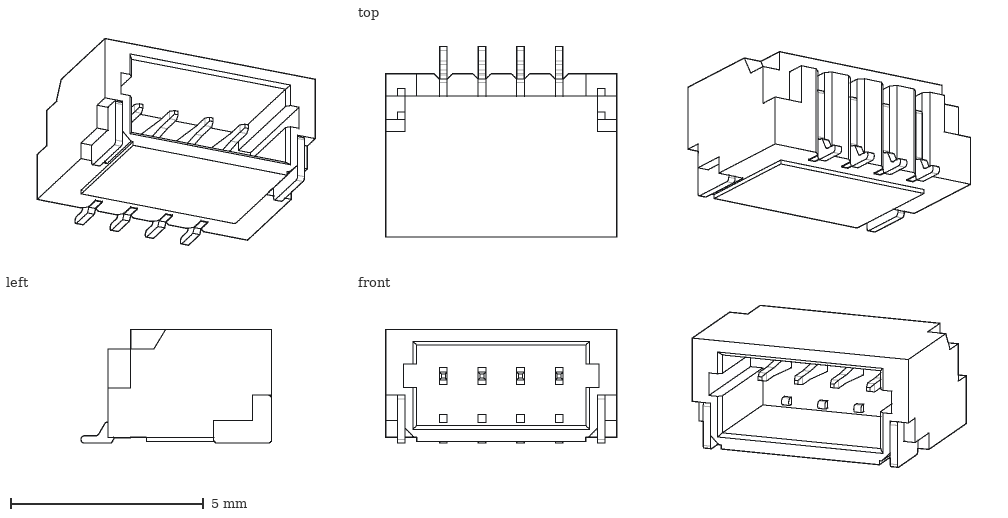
import cadquery as cq
import math


WIDTH = 6.0
DEPTH = 4.25
HEIGHT = 2.95
STANDOFF = 0.15
REAR_STEP_Y = 3.66
REAR_LEDGE_Z = 2.45
SHOULDER_Z = 1.44
SHOULDER_WIDTH = 0.805

NOTCH_WIDTH = 0.505
NOTCH_FOOT_Y = 3.055
NOTCH_TOP_Y = 2.75

CAVITY_WIDTH = 4.39
CAVITY_FLOOR_Z = 0.455
CAVITY_ROOF_Z = 2.55
CAVITY_DEPTH = NOTCH_FOOT_Y
LEAD_IN = 0.095
KEYWAY_SPAN = 5.075
KEYWAY_BOTTOM_Z = 1.45
KEYWAY_TOP_Z = 2.06

PAD_BOTTOM_Z = 0.04
PAD_DEPTH = 3.25

SHEET = 0.2
TAB_INSET = 0.305
TAB_LENGTH = 1.505
TAB_FOOT_Z = 0.595
TAB_NECK_LENGTH = 0.5
TAB_TOP_Z = 1.25
TAB_ROUND = 0.095
RECESS_RELIEF = 0.24

BLIND_HOLE_DEPTH = 0.3

PIN_COUNT = 4
PIN_PITCH = 1.0
POST_FRONT_Y = REAR_STEP_Y
POST_BACK_Y = 4.11
POST_BOTTOM_Z = 0.13
PIN_BEND = 0.095
TAIL_END_Y = 4.95
TAIL_TOP_Z = 0.55
TAIL_ANGLE = math.radians(60)
TAIL_BEND_Y = 4.31
HEEL_Y = 4.16
PRONG_Z = 1.745
PRONG_HEIGHT = 0.215
PRONG_BASE_HEIGHT = 0.43
PRONG_TAPER_END_Y = 1.8
PRONG_TIP_Y = 1.02
PRONG_TIP_LENGTH = 0.2
PRONG_TIP_SIZE = 0.1
NUB_Z = 0.64
NUB_REACH = 0.2
MOUTH_CHAMFER = 0.145


def block(x_range, y_range, z_range):
    """Axis-aligned box given by its limits."""
    (x0, x1), (y0, y1), (z0, z1) = x_range, y_range, z_range
    return cq.Workplane("XY").box(x1 - x0, y1 - y0, z1 - z0, centered=False).translate((x0, y0, z0))


def centred_block(width, y_range, z_range):
    """Box that is symmetric about x = 0."""
    return block((-width / 2, width / 2), y_range, z_range)


def side_profile(points, x_start, thickness):
    """Extrude a closed (y, z) outline along +X."""
    return cq.Workplane("YZ").workplane(offset=x_start).polyline(points).close().extrude(thickness)


def both_sides(left_part):
    """A left-hand shape together with its mirror image."""
    return left_part.add(left_part.mirror("YZ"))


def pin_positions():
    return [(i - (PIN_COUNT - 1) / 2) * PIN_PITCH for i in range(PIN_COUNT)]


TAB_OUTLINE = [
    (0, 0),
    (TAB_LENGTH, 0),
    (TAB_LENGTH, TAB_FOOT_Z),
    (TAB_NECK_LENGTH, TAB_FOOT_Z),
    (TAB_NECK_LENGTH, TAB_TOP_Z),
    (0, TAB_TOP_Z),
]
TAB_OUTER_X = -WIDTH / 2 + TAB_INSET
TAB_INNER_X = TAB_OUTER_X + SHEET


def make_left_tab():
    tab = side_profile(TAB_OUTLINE, TAB_OUTER_X, SHEET)
    front_corners = tab.edges("|X and <Y")
    bottom_rear = tab.edges("|X and >Y").edges("<Z")
    return tab.newObject(front_corners.vals() + bottom_rear.vals()).fillet(TAB_ROUND)


def make_pin_post_and_tail():
    tail_drop = TAIL_TOP_Z - SHEET
    slope_foot_y = TAIL_BEND_Y + tail_drop / math.tan(TAIL_ANGLE)
    heel_top_y = HEEL_Y - POST_BOTTOM_Z / math.tan(TAIL_ANGLE)
    post_top_z = PRONG_Z + PRONG_BASE_HEIGHT / 2
    tail_round = SHEET / 2
    bends = [
        (POST_BACK_Y, post_top_z),
        (POST_BACK_Y, TAIL_TOP_Z),
        (TAIL_BEND_Y, TAIL_TOP_Z),
        (slope_foot_y, SHEET),
    ]
    body = (
        cq.Workplane("YZ")
        .workplane(offset=-SHEET / 2)
        .moveTo(POST_FRONT_Y, POST_BOTTOM_Z)
        .lineTo(heel_top_y, POST_BOTTOM_Z)
        .lineTo(HEEL_Y, 0)
        .lineTo(TAIL_END_Y - tail_round, 0)
        .threePointArc((TAIL_END_Y, tail_round), (TAIL_END_Y - tail_round, SHEET))
        .lineTo(slope_foot_y, SHEET)
        .lineTo(TAIL_BEND_Y, TAIL_TOP_Z)
        .lineTo(POST_BACK_Y, TAIL_TOP_Z)
        .lineTo(POST_BACK_Y, post_top_z)
        .lineTo(POST_FRONT_Y, post_top_z)
        .close()
        .extrude(SHEET)
    )
    for y, z in bends:
        body = body.edges(cq.selectors.NearestToPointSelector((0, y, z))).fillet(PIN_BEND)
    return body


def make_prong():
    base_half = PRONG_BASE_HEIGHT / 2
    half = PRONG_HEIGHT / 2
    tip_base_y = PRONG_TIP_Y + PRONG_TIP_LENGTH
    shaft = side_profile(
        [
            (POST_FRONT_Y, PRONG_Z - base_half),
            (POST_FRONT_Y, PRONG_Z + base_half),
            (CAVITY_DEPTH, PRONG_Z + base_half),
            (PRONG_TAPER_END_Y, PRONG_Z + half),
            (tip_base_y, PRONG_Z + half),
            (tip_base_y, PRONG_Z - half),
            (PRONG_TAPER_END_Y, PRONG_Z - half),
            (CAVITY_DEPTH, PRONG_Z - base_half),
        ],
        -SHEET / 2,
        SHEET,
    )
    tip = (
        cq.Workplane("XZ", origin=(0, tip_base_y, PRONG_Z))
        .rect(SHEET, PRONG_HEIGHT)
        .workplane(offset=PRONG_TIP_LENGTH)
        .rect(PRONG_TIP_SIZE, PRONG_TIP_SIZE)
        .loft(ruled=True)
    )
    return shaft.union(tip)


def make_nub():
    radius = SHEET / 2
    nub_tip_y = CAVITY_DEPTH - NUB_REACH
    round_start_y = nub_tip_y + radius
    return (
        cq.Workplane("YZ")
        .workplane(offset=-SHEET / 2)
        .moveTo(POST_FRONT_Y, NUB_Z - radius)
        .lineTo(round_start_y, NUB_Z - radius)
        .threePointArc((nub_tip_y, NUB_Z), (round_start_y, NUB_Z + radius))
        .lineTo(POST_FRONT_Y, NUB_Z + radius)
        .close()
        .extrude(SHEET)
    )


def make_pin(x):
    pin = make_pin_post_and_tail().union(make_prong()).union(make_nub())
    return pin.translate((x, 0, 0))


def make_shell():
    """Outer block with the stepped rear and the pad below the cavity."""
    body = centred_block(WIDTH, (0, DEPTH), (STANDOFF, SHOULDER_Z))
    body = body.union(centred_block(WIDTH, (0, REAR_STEP_Y), (SHOULDER_Z, HEIGHT)))
    rear_width = WIDTH - 2 * SHOULDER_WIDTH
    body = body.union(centred_block(rear_width, (REAR_STEP_Y, DEPTH), (SHOULDER_Z, REAR_LEDGE_Z)))
    return body.union(centred_block(CAVITY_WIDTH, (0, PAD_DEPTH), (PAD_BOTTOM_Z, STANDOFF)))


def make_cavity():
    """Mating cavity with its flared mouth and side keyways."""
    height = CAVITY_ROOF_Z - CAVITY_FLOOR_Z
    centre_z = (CAVITY_ROOF_Z + CAVITY_FLOOR_Z) / 2
    flare = (
        cq.Workplane("XZ", origin=(0, LEAD_IN, centre_z))
        .rect(CAVITY_WIDTH, height)
        .workplane(offset=LEAD_IN)
        .rect(CAVITY_WIDTH + 2 * LEAD_IN, height + 2 * LEAD_IN)
        .loft(ruled=True)
    )
    cavity = centred_block(CAVITY_WIDTH, (0, CAVITY_DEPTH), (CAVITY_FLOOR_Z, CAVITY_ROOF_Z))
    keyways = centred_block(KEYWAY_SPAN, (0, CAVITY_DEPTH), (KEYWAY_BOTTOM_Z, KEYWAY_TOP_Z))
    return cavity.union(flare).union(keyways)


def make_left_notch():
    return side_profile(
        [
            (NOTCH_FOOT_Y, REAR_LEDGE_Z),
            (REAR_STEP_Y, REAR_LEDGE_Z),
            (REAR_STEP_Y, HEIGHT),
            (NOTCH_TOP_Y, HEIGHT),
        ],
        -WIDTH / 2,
        NOTCH_WIDTH,
    )


def make_left_blind_holes():
    """Square holes behind the notch slope and behind the rear step."""
    holes = cq.Workplane("XY")
    for front_y, top_z in ((NOTCH_FOOT_Y, REAR_LEDGE_Z), (REAR_STEP_Y, SHOULDER_Z)):
        y_range = (front_y, front_y + SHEET)
        holes = holes.add(block((TAB_OUTER_X, TAB_INNER_X), y_range, (top_z - BLIND_HOLE_DEPTH, top_z)))
    return holes


def make_left_tab_recess():
    """Open L-shaped space that takes the tab and leaves its outer face bare."""
    return side_profile(TAB_OUTLINE, -WIDTH / 2, TAB_INSET + SHEET)


def make_left_relief():
    """Bevel on the lower edge of the wall beside the tab."""
    return (
        cq.Workplane("XZ")
        .moveTo(TAB_INNER_X, STANDOFF)
        .lineTo(TAB_INNER_X + RECESS_RELIEF, STANDOFF)
        .lineTo(TAB_INNER_X, STANDOFF + RECESS_RELIEF)
        .close()
        .extrude(-TAB_LENGTH)
    )


def make_pin_channel(x):
    """Slot in the rear block, open upward and flared toward the rear."""
    half = SHEET / 2
    flare_half = half + MOUTH_CHAMFER
    flare_start_y = DEPTH - MOUTH_CHAMFER
    return (
        cq.Workplane("XY", origin=(x, 0, STANDOFF))
        .polyline([
            (-half, POST_FRONT_Y),
            (half, POST_FRONT_Y),
            (half, flare_start_y),
            (flare_half, DEPTH),
            (-flare_half, DEPTH),
            (-half, flare_start_y),
        ])
        .close()
        .extrude(REAR_LEDGE_Z - STANDOFF)
    )


def make_housing(pins):
    body = make_shell().cut(make_cavity())
    for left_cut in (make_left_notch(), make_left_blind_holes(), make_left_tab_recess(), make_left_relief()):
        for cutter in both_sides(left_cut).vals():
            body = body.cut(cq.Workplane(cutter))
    for x in pin_positions():
        body = body.cut(make_pin_channel(x))
    for pin in pins:
        body = body.cut(pin)
    return body


pins = [make_pin(x) for x in pin_positions()]
left_tab = make_left_tab()
right_tab = left_tab.mirror("YZ")
housing = make_housing(pins)

result = cq.Compound.makeCompound(
    [housing.val(), left_tab.val(), right_tab.val(), *[pin.val() for pin in pins]]
)